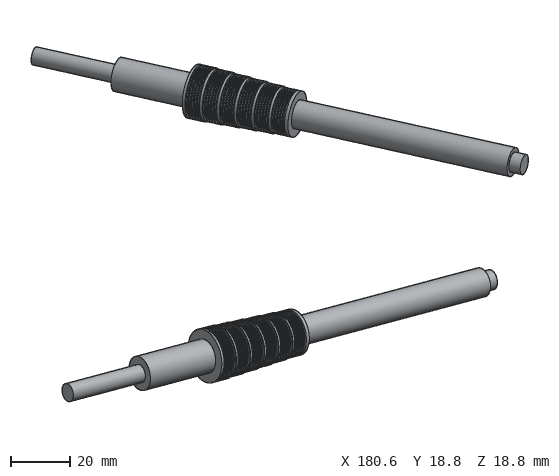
import cadquery as cq

TOTAL_LENGTH = 180.6

PIN_DIAMETER = 6.3
PIN_LENGTH = 30.7

FRONT_ROD_DIAMETER = 12.0

REAR_ROD_DIAMETER = 10.1
TAIL_DIAMETER = 7.0
TAIL_LENGTH = 4.2

SLEEVE_START = 58.5
SLEEVE_DIAMETER = 18.8
SECTION_COUNT = 6
SECTION_DIAMETER_STEP = 0.5
LAND_WIDTH = 1.0
GROOVES_PER_SECTION = 5
GROOVE_WIDTH = 0.78
GROOVE_DEPTH = 0.81
RIB_WIDTH = 0.27

SECTION_LENGTH = LAND_WIDTH + GROOVES_PER_SECTION * (GROOVE_WIDTH + RIB_WIDTH)
SLEEVE_END = SLEEVE_START + SECTION_COUNT * SECTION_LENGTH + LAND_WIDTH
TAIL_START = TOTAL_LENGTH - TAIL_LENGTH


def cylinder(start, length, diameter):
    """Solid cylinder along X beginning at the given X position."""
    return cq.Workplane("YZ", origin=(start, 0, 0)).circle(diameter / 2).extrude(length)


def sleeve_profile():
    """Half outline of the sleeve in the XY plane, from the axis out and back to the axis."""
    x = SLEEVE_START
    points = [(x, 0)]
    for section in range(SECTION_COUNT):
        rib_radius = (SLEEVE_DIAMETER - section * SECTION_DIAMETER_STEP) / 2
        groove_radius = rib_radius - GROOVE_DEPTH
        points.append((x, rib_radius))
        x += LAND_WIDTH
        for _ in range(GROOVES_PER_SECTION):
            groove_end = x + GROOVE_WIDTH
            points += [
                (x, rib_radius),
                (x, groove_radius),
                (groove_end, groove_radius),
                (groove_end, rib_radius),
            ]
            x = groove_end + RIB_WIDTH
        if section < SECTION_COUNT - 1:
            points.append((x, rib_radius))

    points += [(SLEEVE_END, rib_radius), (SLEEVE_END, 0)]
    return points


def ribbed_sleeve():
    """Sleeve outline turned about the X axis."""
    outline = cq.Workplane("XY").polyline(sleeve_profile()).close()
    return outline.revolve(360, (0, 0, 0), (1, 0, 0))


pin = cylinder(0, PIN_LENGTH, PIN_DIAMETER)
front_rod = cylinder(PIN_LENGTH, SLEEVE_START - PIN_LENGTH, FRONT_ROD_DIAMETER)
rear_rod = cylinder(SLEEVE_END, TAIL_START - SLEEVE_END, REAR_ROD_DIAMETER)
tail = cylinder(TAIL_START, TAIL_LENGTH, TAIL_DIAMETER)

result = ribbed_sleeve().union(front_rod).union(pin).union(rear_rod).union(tail)